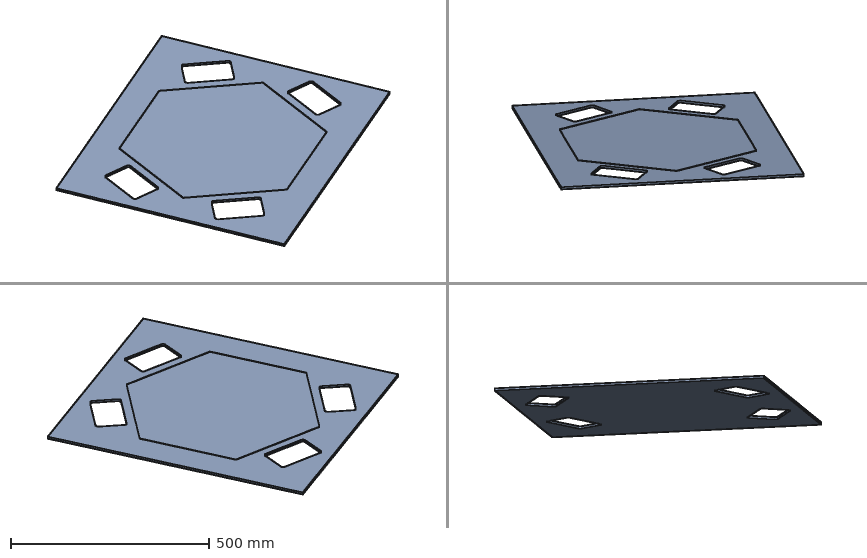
import cadquery as cq
import math

plate_width = 622.5
plate_length = 698.5
plate_thickness = 6.35

recess_across_flats = 457.5
recess_across_corners = recess_across_flats / math.cos(math.pi / 6)
recess_depth = 1.5

window_length = 126.0
window_width = 79.0
window_corner_radius = 7.0
window_offset_x = 145.0
window_offset_y = 253.0
window_tilt = 30


def make_plate():
    return cq.Workplane("XY").box(plate_width, plate_length, plate_thickness, centered=(True, True, False))


def make_recess():
    return (
        cq.Workplane("XY", origin=(0, 0, plate_thickness - recess_depth))
        .transformed(rotate=(0, 0, 90))
        .polygon(6, recess_across_corners)
        .extrude(recess_depth)
    )


def make_window(side_x, side_y):
    """Through-cutting window in the quadrant given by the signs side_x and side_y."""
    return (
        cq.Workplane("XY")
        .box(window_length, window_width, plate_thickness, centered=(True, True, False))
        .edges("|Z")
        .fillet(window_corner_radius)
        .rotate((0, 0, 0), (0, 0, 1), -side_x * side_y * window_tilt)
        .translate((side_x * window_offset_x, side_y * window_offset_y, 0))
    )


result = make_plate().cut(make_recess())
for side_x in (-1, 1):
    for side_y in (-1, 1):
        result = result.cut(make_window(side_x, side_y))